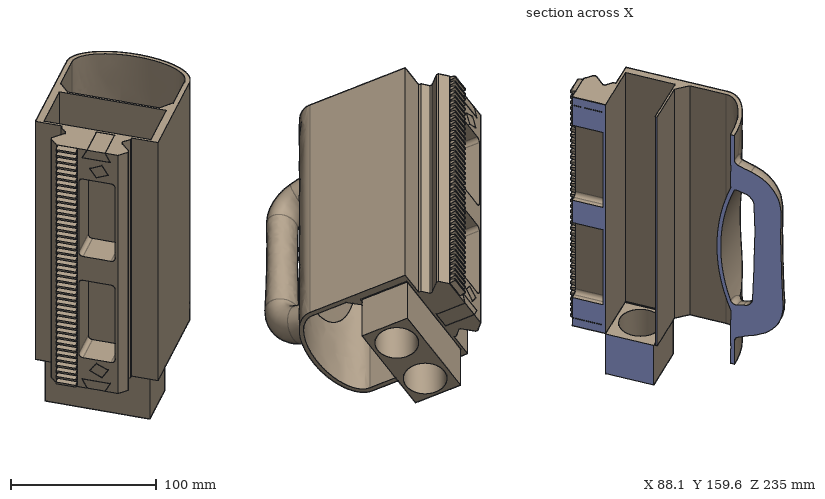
import cadquery as cq

BODY_WIDTH = 88.08
BODY_HEIGHT = 200.0
BODY_BACK = 97.0
DOME_START = 75.0

SIDE_WALL = 3.6
DOME_WALL = 3.0
CAVITY_FRONT = 40.0
CAVITY_CHAMFER_X = 7.4
CAVITY_CHAMFER_Y = 8.5

SCOOP_RADIUS = 142.0
SCOOP_BOTTOM = 87.0
SCOOP_WALL = 3.2

CHAMBER_WIDTH = 76.7
CHAMBER_FRONT = 2.0
CHAMBER_BACK = 38.5
FOOT_WIDTH = 75.2
FOOT_FRONT = 1.9
FOOT_BACK = 37.5
FOOT_HEIGHT = 34.95
BORE_DIAMETER = 30.0
BORE_SPACING = 40.0
BORE_Y = 20.0

RAIL_ROOT_HALF = 25.0
RAIL_NECK_HALF = 20.3
RAIL_LIP_HALF = 27.6
RAIL_FACE_HALF = 22.0
RAIL_DEPTH = 22.6
RAIL_ROOT_END = 1.9
NECK_START = 6.3
NECK_END = 7.7
LIP_START = 15.5
LIP_END = 17.2

TOOTH_COUNT = 42
TOOTH_PITCH = 4.7625
TOOTH_HEIGHT = 4.0
TOOTH_BASE = 3.6
TOOTH_TIP = 1.4
FIRST_TOOTH_Z = 2.85
RACK_LEFT = -21.3
RACK_RIGHT = -7.0

WINDOW_WIDTH = 26.0
WINDOW_HEIGHT = 65.0
WINDOW_RADIUS = 3.0
WINDOW_X = 7.0
WINDOW_SPACING = 85.0

INSERT_GAP = 0.1
KEY_X = 6.4
KEY_MOUTH = 13.0
KEY_INNER = 20.4
KEY_LENGTH = 7.2
PIN_X = 8.2
PIN_INSET = 17.0
PIN_POINTS = [(-6.5, -1.8), (-1.7, 5.0), (6.9, 1.2), (2.4, -6.1)]

GRIP_BACK = 131.69
BAR_WIDTH = 25.0
BAR_DEPTH = 20.4
ROOT_WIDTH = 31.0
UPPER_ROOT_HEIGHT = 23.0
LOWER_ROOT_HEIGHT = 29.0
ELBOW_RADIUS = 20.0
BAR_LEAN = 0.2
UPPER_ROOT = (86.0, 167.0)
UPPER_ELBOW_Z = 157.5
LOWER_ROOT = (86.0, 34.0)
LOWER_ELBOW_Z = 46.5
ROOT_FILLET = 4.0
SELECT_MARGIN = 0.5


def dome_prism(half_width, front, back):
    """Full-height prism with straight sides and a half-ellipse back."""
    rise = back - DOME_START
    return (
        cq.Workplane("XY")
        .moveTo(-half_width, front)
        .lineTo(half_width, front)
        .lineTo(half_width, DOME_START)
        .ellipseArc(half_width, rise, 0, 180, startAtCurrent=True)
        .close()
        .extrude(BODY_HEIGHT)
    )


def scoop_cylinder(radius):
    """Cylinder along X behind the body, at mid height."""
    return (
        cq.Workplane("YZ")
        .center(SCOOP_BOTTOM + SCOOP_RADIUS, BODY_HEIGHT / 2)
        .circle(radius)
        .extrude(BODY_WIDTH, both=True)
    )


def box(width, front, back, bottom, top):
    return (
        cq.Workplane("XY", origin=(0, (front + back) / 2, bottom))
        .rect(width, back - front)
        .extrude(top - bottom)
    )


def handle():
    bar_y = GRIP_BACK - BAR_DEPTH / 2
    corners = [
        cq.Vector(0, *UPPER_ROOT),
        cq.Vector(0, bar_y - BAR_LEAN, UPPER_ELBOW_Z),
        cq.Vector(0, bar_y, LOWER_ELBOW_Z),
        cq.Vector(0, *LOWER_ROOT),
    ]
    line = cq.Wire.makePolygon(corners)
    elbows = [v for v in line.Vertices() if v.Y > BODY_BACK]
    path = line.fillet2D(ELBOW_RADIUS, elbows)

    def section(start, end, at, width, depth):
        plane = cq.Plane(origin=at.toTuple(), xDir=(1, 0, 0), normal=(end - start).toTuple())
        return cq.Workplane(plane).ellipse(width / 2, depth / 2).wires().val()

    upper_root, upper_elbow, lower_elbow, lower_root = corners
    middle = (upper_elbow + lower_elbow) * 0.5
    sections = [
        section(upper_root, upper_elbow, upper_root, ROOT_WIDTH, UPPER_ROOT_HEIGHT),
        section(upper_elbow, lower_elbow, middle, BAR_WIDTH, BAR_DEPTH),
        section(lower_elbow, lower_root, lower_root, ROOT_WIDTH, LOWER_ROOT_HEIGHT),
    ]
    return cq.Workplane(cq.Solid.sweep_multi(sections, path))


def cavity():
    half = BODY_WIDTH / 2 - SIDE_WALL
    hollow = dome_prism(half, CAVITY_FRONT, BODY_BACK - DOME_WALL)
    for side in (-1, 1):
        corner = (
            cq.Workplane("XY")
            .moveTo(side * half, CAVITY_FRONT)
            .lineTo(side * (half - CAVITY_CHAMFER_X), CAVITY_FRONT)
            .lineTo(side * half, CAVITY_FRONT + CAVITY_CHAMFER_Y)
            .close()
            .extrude(BODY_HEIGHT)
        )
        hollow = hollow.cut(corner)
    return hollow.cut(scoop_cylinder(SCOOP_RADIUS + SCOOP_WALL))


def rail():
    right_side = [
        (RAIL_ROOT_HALF, CHAMBER_FRONT),
        (RAIL_ROOT_HALF, -RAIL_ROOT_END),
        (RAIL_NECK_HALF, -NECK_START),
        (RAIL_NECK_HALF, -NECK_END),
        (RAIL_LIP_HALF, -LIP_START),
        (RAIL_LIP_HALF, -LIP_END),
        (RAIL_FACE_HALF, -RAIL_DEPTH),
    ]
    left_side = [(-x, y) for x, y in reversed(right_side)]
    return cq.Workplane("XY").polyline(right_side + left_side).close().extrude(BODY_HEIGHT)


def rack():
    """Row of trapezoidal teeth standing on the rail face."""
    teeth = cq.Workplane("YZ", origin=(RACK_LEFT, 0, 0))
    tip_y = -RAIL_DEPTH - TOOTH_HEIGHT
    for index in range(TOOTH_COUNT):
        z = FIRST_TOOTH_Z + index * TOOTH_PITCH
        teeth = teeth.polyline([
            (-RAIL_DEPTH, z - TOOTH_BASE / 2),
            (-RAIL_DEPTH, z + TOOTH_BASE / 2),
            (tip_y, z + TOOTH_TIP / 2),
            (tip_y, z - TOOTH_TIP / 2),
        ]).close()
    return teeth.extrude(RACK_RIGHT - RACK_LEFT)


def windows():
    half_spacing = WINDOW_SPACING / 2
    return (
        cq.Workplane("XZ")
        .center(WINDOW_X, BODY_HEIGHT / 2)
        .pushPoints([(0, -half_spacing), (0, half_spacing)])
        .rect(WINDOW_WIDTH, WINDOW_HEIGHT)
        .extrude(RAIL_DEPTH)
        .edges("|Y")
        .fillet(WINDOW_RADIUS)
    )


def outline_gap(points):
    """Thin gap around an insert, as deep as the rail."""
    outline = cq.Workplane("XZ").polyline(points).close()
    outer = outline.extrude(RAIL_DEPTH)
    inner = cq.Workplane("XZ").polyline(points).close().offset2D(-INSERT_GAP).extrude(RAIL_DEPTH)
    return outer.cut(inner)


def insert_gaps():
    """Dovetail key and square pin at the bottom, mirrored to the top."""
    key = outline_gap([
        (KEY_X - KEY_MOUTH / 2, 0),
        (KEY_X + KEY_MOUTH / 2, 0),
        (KEY_X + KEY_INNER / 2, KEY_LENGTH),
        (KEY_X - KEY_INNER / 2, KEY_LENGTH),
    ])
    pin = outline_gap([(PIN_X + x, PIN_INSET + z) for x, z in PIN_POINTS])
    lower = key.union(pin)
    return lower.union(lower.mirror("XY", (0, 0, BODY_HEIGHT / 2)))


def foot():
    plug = box(FOOT_WIDTH, FOOT_FRONT, FOOT_BACK, -FOOT_HEIGHT, 0)
    bores = (
        cq.Workplane("XY")
        .pushPoints([(-BORE_SPACING / 2, BORE_Y), (BORE_SPACING / 2, BORE_Y)])
        .circle(BORE_DIAMETER / 2)
        .extrude(-FOOT_HEIGHT)
    )
    return plug.cut(bores)


def root_edges(shape):
    """Edges where the two ends of the handle meet the back of the body."""
    near_handle = cq.selectors.BoxSelector(
        (-ROOT_WIDTH, DOME_START, SELECT_MARGIN),
        (ROOT_WIDTH, BODY_BACK + SELECT_MARGIN, BODY_HEIGHT - SELECT_MARGIN),
        boundingbox=True,
    )
    return shape.edges(near_handle)


shell = dome_prism(BODY_WIDTH / 2, 0, BODY_BACK).cut(scoop_cylinder(SCOOP_RADIUS))
shell = shell.union(handle())
shell = root_edges(shell).fillet(ROOT_FILLET)
shell = shell.cut(cavity())
shell = shell.cut(box(CHAMBER_WIDTH, CHAMBER_FRONT, CHAMBER_BACK, 0, BODY_HEIGHT))

front = rail().cut(windows()).cut(insert_gaps())
result = shell.union(front).union(rack()).union(foot())
result = cq.Workplane(result.solids().val())